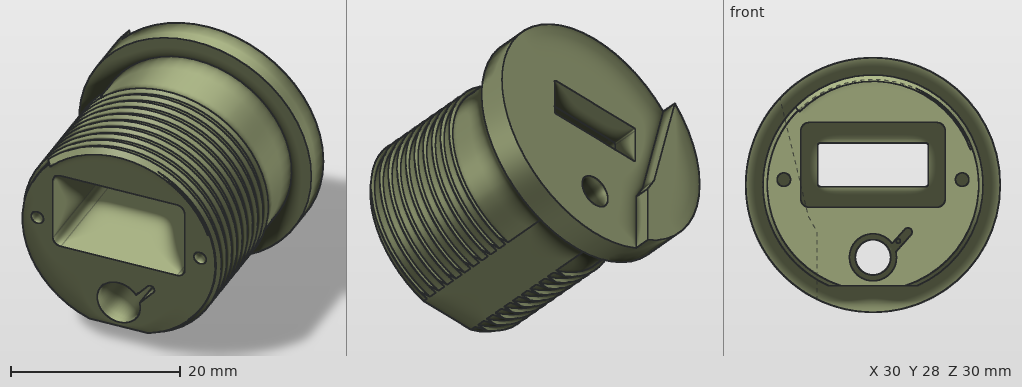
import cadquery as cq
import math


flange_radius = 15.0
flange_thickness = 3.5
barrel_radius = 12.45
barrel_length = 22.0
front_depth = flange_thickness + barrel_length
flat_drop = 11.85

lug_height = 2.0
lug_top = (-10.98, 10.23)
lug_bend = (-7.65, -3.63)
lug_inner_top = (-6.6, -5.55)
clearing_radius = 18.0

thread_pitch = 1.5
thread_turns = 10
thread_start_angle = 135.0
thread_crest_depth = 10.38
thread_crest_radius = 12.95
thread_root_radius = 12.2
back_flank_run = 0.15
front_flank_run = 0.6

pocket_width = 17.0
pocket_height = 10.0
pocket_corner = 1.0
window_width = 13.0
window_height = 5.1
window_corner = 0.25
pocket_z = 2.37

screw_diameter = 1.6
screw_depth = 6.0
screw_x = 10.5
screw_z = 0.63

bore_z = -8.52
bore_diameter = 4.15
counterbore_diameter = 5.55

slot_inner = (2.1, -7.8)
slot_outer = (4.1, -5.55)
slot_width = 1.0
pin_diameter = 0.5
pin_depth = 1.5
pin_position = (2.97, -6.6)


def plane_at(depth):
    """Workplane facing -Y (local x = X, local y = Z) at the given depth."""
    return cq.Workplane("XZ", origin=(0, -depth, 0))


def make_flange():
    """Flange disc whose back is cleared away everywhere except at the lug."""
    blank = plane_at(-lug_height).circle(flange_radius).extrude(lug_height + flange_thickness)
    lug_outline = (
        plane_at(-lug_height)
        .moveTo(-clearing_radius, lug_top[1])
        .lineTo(*lug_top)
        .lineTo(*lug_bend)
        .lineTo(*lug_inner_top)
        .lineTo(lug_inner_top[0], -clearing_radius)
        .lineTo(-clearing_radius, -clearing_radius)
        .close()
        .extrude(lug_height)
    )
    clearing = plane_at(-lug_height).circle(clearing_radius).extrude(lug_height)
    return blank.cut(clearing.cut(lug_outline))


def make_thread():
    """Triangular ridge swept along a helix, its root sunk into the barrel."""
    helix = cq.Wire.makeHelix(thread_pitch, thread_pitch * thread_turns, thread_root_radius)
    ridge = (
        cq.Workplane("XZ")
        .moveTo(thread_root_radius, -back_flank_run)
        .lineTo(thread_crest_radius, 0)
        .lineTo(thread_root_radius, front_flank_run)
        .close()
        .sweep(cq.Workplane(helix), isFrenet=True)
    )
    return (
        ridge.rotate((0, 0, 0), (0, 0, 1), thread_start_angle)
        .rotate((0, 0, 0), (1, 0, 0), 90)
        .translate((0, -thread_crest_depth, 0))
    )


def trim_flat(body):
    """Cut the body flat along the bottom, in front of the flange."""
    below_flat = (
        plane_at(flange_thickness)
        .center(0, -flat_drop - flange_radius / 2)
        .rect(2 * flange_radius, flange_radius)
        .extrude(2 * barrel_length)
    )
    return body.cut(below_flat)


def rectangular_opening(width, height, corner, near_depth, far_depth):
    """Block with rounded corners, centered on the display pocket, between two depths."""
    return (
        plane_at(near_depth)
        .center(0, pocket_z)
        .rect(width, height)
        .extrude(far_depth - near_depth)
        .edges("|Y")
        .fillet(corner)
    )


def round_opening(diameter, position, near_depth, far_depth):
    """Cylinder along Y at an (X, Z) position, between two depths."""
    return (
        plane_at(near_depth)
        .center(*position)
        .circle(diameter / 2)
        .extrude(far_depth - near_depth)
    )


def make_slot():
    """Round-ended slot running as deep as the counterbore."""
    run_x = slot_outer[0] - slot_inner[0]
    run_z = slot_outer[1] - slot_inner[1]
    middle = ((slot_inner[0] + slot_outer[0]) / 2, (slot_inner[1] + slot_outer[1]) / 2)
    overall_length = math.hypot(run_x, run_z) + slot_width
    return (
        plane_at(flange_thickness)
        .center(*middle)
        .slot2D(overall_length, slot_width, math.degrees(math.atan2(run_z, run_x)))
        .extrude(barrel_length)
    )


barrel = plane_at(flange_thickness).circle(barrel_radius).extrude(barrel_length)
result = make_flange().union(trim_flat(barrel))

result = result.cut(
    rectangular_opening(pocket_width, pocket_height, pocket_corner, flange_thickness, front_depth)
)
result = result.cut(
    rectangular_opening(window_width, window_height, window_corner, 0, flange_thickness)
)
result = result.cut(round_opening(counterbore_diameter, (0, bore_z), flange_thickness, front_depth))
result = result.cut(round_opening(bore_diameter, (0, bore_z), 0, flange_thickness))

for side in (-1, 1):
    screw_position = (side * screw_x, screw_z)
    result = result.cut(
        round_opening(screw_diameter, screw_position, front_depth - screw_depth, front_depth)
    )

result = result.cut(make_slot())
result = result.cut(
    round_opening(pin_diameter, pin_position, flange_thickness - pin_depth, flange_thickness)
)

result = result.union(trim_flat(make_thread())).solids()